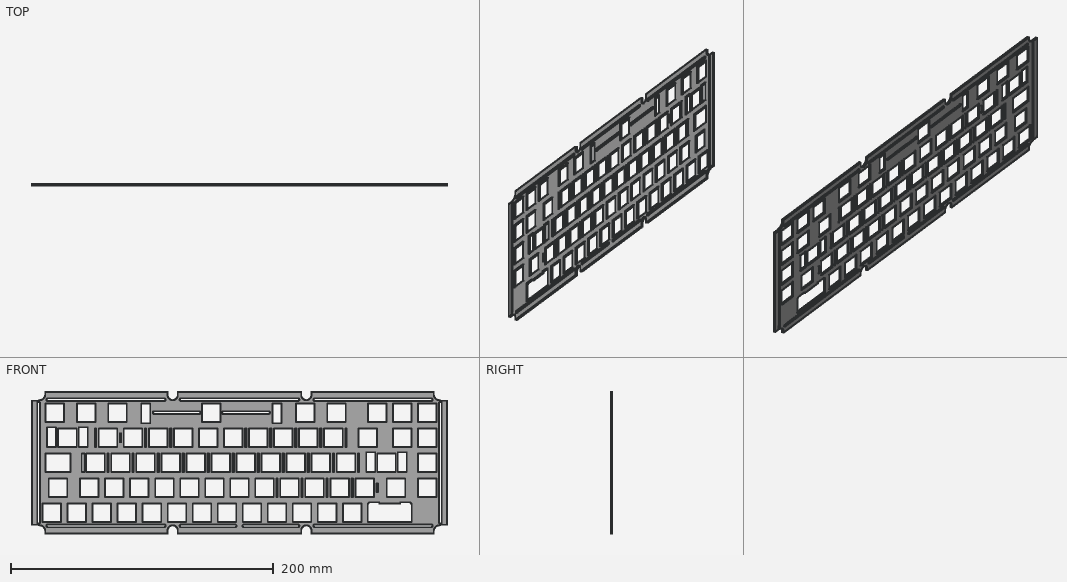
import cadquery as cq


length = 315.8
height = 107.7
thickness = 1.5
tab_height = 94.5
strip_length = 295.5
panel_length = 305.3
panel_height = 95.5
corner_radius = 4.5
corner_margin = 0.3
notch_x = 50.8
notch_width = 7.5
notch_depth = (height - panel_height) / 2

relief_width = 2.0
end_relief_x = 152.8
end_relief_length = 92.8
edge_relief_z = 48.0
outer_relief_start = 56.2
outer_relief_end = 146.8
middle_relief_end = 45.5
relief_rib = 4.7

layout_width = 304.7
pitch = layout_width / 16
switch_size = 14.0
stepped_switch_width = switch_size + pitch / 4
row_z = [(2 - row) * pitch for row in range(5)]

stab_width = 6.5
stab_height = 14.8
stab_shift = (stab_height - switch_size) / 2
key_stab_offset = 12.0
spacebar_stab_offset = 50.0
flex_slot_width = 1.0
wide_flex_slot_width = 2.0
short_flex_slot_height = 6.5
spacebar_slot_start = 8.2
spacebar_slot_end = 44.5
spacebar_slot_width = 2.0

double_width = 33.0
double_notch_width = 8.5
double_notch_radius = 1.5


def centred_plate(width, tall):
    """Rectangle of full sheet thickness, centred on the origin."""
    return cq.Workplane("XZ").rect(width, tall).extrude(thickness / 2, both=True)


def box_at(x, z, width, tall):
    """Rectangular block through the sheet, centred on (x, z)."""
    return cq.Workplane("XZ").center(x, z).rect(width, tall).extrude(thickness, both=True)


def slot_between(x_start, x_end, z, width):
    """Horizontal slot with rounded ends."""
    return (
        cq.Workplane("XZ")
        .center((x_start + x_end) / 2, z)
        .slot2D(x_end - x_start, width)
        .extrude(thickness, both=True)
    )


def upright_slot(x, z, tall, width):
    """Vertical slot with rounded ends, centred on (x, z)."""
    return cq.Workplane("XZ").center(x, z).slot2D(tall, width, 90).extrude(thickness, both=True)


def run(first, count):
    """Places of neighbouring keys, one pitch apart."""
    return [first + i for i in range(count)]


spacebar = -1.125
left_shift = -6.875
enter = 5.875
double_key = 6.0
stepped_key = -7.25
switch_places = [
    [-7.375, -6.125, -4.875, spacebar, 2.625, 3.875] + run(5.5, 3),
    [left_shift] + run(-5.25, 10) + [5.125, 6.5, 7.5],
    run(-5.75, 11) + [enter, 7.5],
    [-7.25] + run(-6.0, 12) + [6.25, 7.5],
    run(-7.5, 13),
]
flex_slot_places = [
    [],
    [-5.75, -3.75, -2.75] + run(0.25, 5),
    run(-5.25, 11),
    run(1.5, 4),
    [],
]
short_flex_slots = [(1, -4.75), (3, 5.5)]
wide_flex_slot = (2, -6.25)


def make_sheet():
    """Main panel with end tabs and edge strips, rounded inner corners and U notches."""
    panel = centred_plate(panel_length, panel_height)
    strips = centred_plate(strip_length, height)
    tabs = centred_plate(length, tab_height)
    sheet = panel.union(strips)
    half_x = strip_length / 2 + corner_margin
    half_z = panel_height / 2 + corner_margin
    inner_corners = cq.selectors.BoxSelector((-half_x, -thickness, -half_z), (half_x, thickness, half_z))
    sheet = sheet.edges("|Y").edges(inner_corners).fillet(corner_radius).union(tabs)

    notch_centre_z = (height + notch_width) / 2
    notch_slot_length = 2 * notch_depth + notch_width
    for x in (-notch_x, notch_x):
        for z in (-notch_centre_z, notch_centre_z):
            sheet = sheet.cut(upright_slot(x, z, notch_slot_length, notch_width))
    return sheet


def relief_slots():
    cuts = []
    for x in (-end_relief_x, end_relief_x):
        cuts.append(upright_slot(x, 0, end_relief_length, relief_width))
    for z in (-edge_relief_z, edge_relief_z):
        cuts.append(slot_between(outer_relief_start, outer_relief_end, z, relief_width))
        cuts.append(slot_between(-outer_relief_end, -outer_relief_start, z, relief_width))
    cuts.append(slot_between(-middle_relief_end, middle_relief_end, edge_relief_z, relief_width))
    rib_side = relief_rib / 2
    cuts.append(slot_between(rib_side, middle_relief_end, -edge_relief_z, relief_width))
    cuts.append(slot_between(-middle_relief_end, -rib_side, -edge_relief_z, relief_width))
    return cuts


def switch_cutouts():
    cuts = []
    for places, z in zip(switch_places, row_z):
        for place in places:
            cuts.append(box_at(place * pitch, z, switch_size, switch_size))
    cuts.append(box_at(stepped_key * pitch, row_z[2], stepped_switch_width, switch_size))
    return cuts


def stabiliser_pair(place, z, offset):
    return [box_at(place * pitch + side * offset, z, stab_width, stab_height) for side in (-1, 1)]


def stabiliser_cutouts():
    cuts = stabiliser_pair(spacebar, row_z[0] - stab_shift, spacebar_stab_offset)
    cuts += stabiliser_pair(left_shift, row_z[1] + stab_shift, key_stab_offset)
    cuts += stabiliser_pair(enter, row_z[2] + stab_shift, key_stab_offset)
    return cuts


def thin_slots():
    cuts = []
    for places, z in zip(flex_slot_places, row_z):
        for place in places:
            cuts.append(box_at(place * pitch, z, flex_slot_width, switch_size))
    for row, place in short_flex_slots:
        cuts.append(box_at(place * pitch, row_z[row], flex_slot_width, short_flex_slot_height))
    row, place = wide_flex_slot
    cuts.append(box_at(place * pitch, row_z[row], wide_flex_slot_width, switch_size))

    x = spacebar * pitch
    z = row_z[0]
    cuts.append(slot_between(x + spacebar_slot_start, x + spacebar_slot_end, z, spacebar_slot_width))
    cuts.append(slot_between(x - spacebar_slot_end, x - spacebar_slot_start, z, spacebar_slot_width))
    return cuts


def double_key_cutout():
    """Wide cutout whose two ends rise above its middle and have rounded outer corners."""
    x = double_key * pitch
    z = row_z[4]
    cuts = [box_at(x, z, double_width - double_notch_width, switch_size)]
    notch_offset = (double_width - double_notch_width) / 2
    for side in (-1, 1):
        outer_end = ">X" if side > 0 else "<X"
        notch = box_at(x + side * notch_offset, z + stab_shift, double_notch_width, stab_height)
        cuts.append(notch.faces(">Z").edges(outer_end).fillet(double_notch_radius))
    return cuts


cutouts = relief_slots() + switch_cutouts() + stabiliser_cutouts() + thin_slots() + double_key_cutout()
result = cq.Workplane(obj=make_sheet().val().cut(*[cutout.val() for cutout in cutouts]))